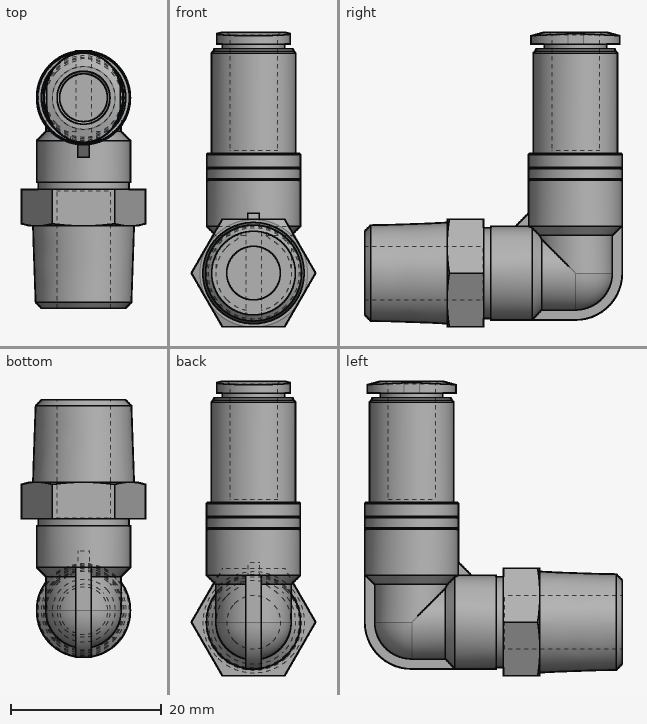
import cadquery as cq
import math


BODY_R = 12.5 / 2
NECK_R = 5.0
TUBE_BODY_START = 6.22
THREAD_BODY_START = 5.7
BODY_CONE = BODY_R - NECK_R
THREAD_BODY_END = 11.25
WEB_THICKNESS = 2.0

TUBE_BODY_TOP = 15.9
GROOVE_R = 12.1 / 2
GROOVE_WIDTH = 0.2
GROOVE_HEIGHTS = (12.4, 13.95)
BODY_EDGE = 0.15

SLEEVE_R = 11.25 / 2
SLEEVE_TOP = 29.8
SLEEVE_CHAMFER = 0.25
SLEEVE_LIP_HEIGHT = 0.35
SLEEVE_LIP_TAPER = 0.15
STEM_R = 8.35 / 2
COLLAR_BOTTOM = 30.4
COLLAR_TOP = 32.0
COLLAR_END_R = 4.9
COLLAR_LENGTH = 11.82
COLLAR_RIM_DROP = 0.47
TUBE_BORE_R = 6.35 / 2
TUBE_BORE_DEPTH = 15.65
TUBE_BORE_CHAMFER = 0.35

HEX_CORNERS = 16.52
HEX_FLATS = HEX_CORNERS * math.cos(math.pi / 6)
HEX_START = 12.18
HEX_END = 17.03
HEX_CHAMFER_ANGLE = math.radians(15)
GROOVED_NECK_R = 12.1 / 2
THREAD_END = 28.0
THREAD_ROOT_R = 6.75
THREAD_TIP_R = 6.4
THREAD_CHAMFER = 0.82
THREAD_BORE_R = 7.13 / 2
THREAD_BORE_DEPTH = 15.65

GUSSET_WIDTH = 1.55
GUSSET_LEG = 1.7


def revolve_z(points):
    """Revolve a (radius, height) outline about Z."""
    return cq.Workplane("XZ").polyline(points).close().revolve(360, (0, 0), (0, 1))


def along_thread(solid):
    """Turn a solid built along +Z so that it points along -Y."""
    return solid.rotate((0, 0, 0), (1, 0, 0), 90)


def elbow_leg(start, end):
    """Thin neck from the elbow centre that widens through a cone into the body."""
    return revolve_z([
        (0, 0),
        (NECK_R, 0),
        (NECK_R, start - BODY_CONE),
        (BODY_R, start),
        (BODY_R, end),
        (0, end),
    ])


def elbow_web():
    """Central plate that follows the rounded outside of the elbow."""
    return (
        cq.Workplane("YZ")
        .moveTo(0, 0)
        .lineTo(0, TUBE_BODY_START)
        .lineTo(BODY_R, TUBE_BODY_START)
        .lineTo(BODY_R, 0)
        .radiusArc((0, -BODY_R), BODY_R)
        .lineTo(-THREAD_BODY_START, -BODY_R)
        .lineTo(-THREAD_BODY_START, 0)
        .close()
        .extrude(WEB_THICKNESS / 2, both=True)
    )


def tube_body():
    body = elbow_leg(TUBE_BODY_START, TUBE_BODY_TOP).faces(">Z").chamfer(BODY_EDGE)
    for height in GROOVE_HEIGHTS:
        ring = (
            cq.Workplane("XY")
            .workplane(offset=height - GROOVE_WIDTH / 2)
            .circle(BODY_R + 0.4)
            .circle(GROOVE_R)
            .extrude(GROOVE_WIDTH)
        )
        body = body.cut(ring)
    return body


def sleeve():
    """Tube sleeve with a chamfer and a thin tapered lip, topped by the narrower collar stem."""
    lip_r = SLEEVE_R - SLEEVE_CHAMFER
    return revolve_z([
        (0, 0),
        (NECK_R, 0),
        (NECK_R, TUBE_BODY_START),
        (SLEEVE_R, TUBE_BODY_START),
        (SLEEVE_R, SLEEVE_TOP - SLEEVE_LIP_HEIGHT - SLEEVE_CHAMFER),
        (lip_r, SLEEVE_TOP - SLEEVE_LIP_HEIGHT),
        (lip_r - SLEEVE_LIP_TAPER, SLEEVE_TOP),
        (STEM_R, SLEEVE_TOP),
        (STEM_R, COLLAR_BOTTOM),
        (0, COLLAR_BOTTOM),
    ])


def collar():
    """Oval release collar, long in Y, with a conical top."""
    oval = (
        cq.Workplane("XY")
        .workplane(offset=COLLAR_BOTTOM)
        .slot2D(COLLAR_LENGTH, 2 * COLLAR_END_R, 90)
        .extrude(COLLAR_TOP - COLLAR_BOTTOM)
    )
    cone = revolve_z([
        (0, COLLAR_BOTTOM),
        (COLLAR_LENGTH / 2, COLLAR_BOTTOM),
        (COLLAR_LENGTH / 2, COLLAR_TOP - COLLAR_RIM_DROP),
        (STEM_R, COLLAR_TOP),
        (0, COLLAR_TOP),
    ])
    return oval.intersect(cone)


def tube_bore():
    mouth_r = TUBE_BORE_R + TUBE_BORE_CHAMFER
    return revolve_z([
        (0, COLLAR_TOP - TUBE_BORE_DEPTH),
        (TUBE_BORE_R, COLLAR_TOP - TUBE_BORE_DEPTH),
        (TUBE_BORE_R, COLLAR_TOP - TUBE_BORE_CHAMFER),
        (mouth_r, COLLAR_TOP),
        (0, COLLAR_TOP),
    ])


def nut():
    """Hexagon with corners along X, its outer end turned to a shallow cone."""
    corner_r = HEX_CORNERS / 2
    face_r = HEX_FLATS / 2
    drop = (corner_r - face_r) * math.tan(HEX_CHAMFER_ANGLE)
    hexagon = (
        cq.Workplane("XY")
        .workplane(offset=HEX_START)
        .polygon(6, HEX_CORNERS)
        .extrude(HEX_END - HEX_START)
    )
    turned = revolve_z([
        (0, HEX_START),
        (corner_r, HEX_START),
        (corner_r, HEX_END - drop),
        (face_r, HEX_END),
        (0, HEX_END),
    ])
    return hexagon.intersect(turned)


def thread_stem():
    """Neck behind the nut and tapered thread in front of it."""
    return revolve_z([
        (0, THREAD_BODY_END),
        (GROOVED_NECK_R, THREAD_BODY_END),
        (GROOVED_NECK_R, HEX_END),
        (THREAD_ROOT_R, HEX_END),
        (THREAD_TIP_R, THREAD_END - THREAD_CHAMFER),
        (THREAD_TIP_R - THREAD_CHAMFER, THREAD_END),
        (0, THREAD_END),
    ])


def thread_bore():
    return (
        cq.Workplane("XY")
        .workplane(offset=THREAD_END - THREAD_BORE_DEPTH)
        .circle(THREAD_BORE_R)
        .extrude(THREAD_BORE_DEPTH)
    )


def gusset():
    """Triangular rib between the two bodies; its hidden corner lies inside them."""
    return (
        cq.Workplane("YZ")
        .moveTo(-THREAD_BODY_START, 0)
        .lineTo(-THREAD_BODY_START, BODY_R + GUSSET_LEG)
        .lineTo(-BODY_R, BODY_R + GUSSET_LEG)
        .lineTo(-BODY_R - GUSSET_LEG, BODY_R)
        .lineTo(-BODY_R - GUSSET_LEG, 0)
        .close()
        .extrude(GUSSET_WIDTH / 2, both=True)
    )


thread_side = (
    elbow_leg(THREAD_BODY_START, THREAD_BODY_END)
    .union(thread_stem())
    .union(nut())
    .cut(thread_bore())
)
tube_side = tube_body().union(sleeve()).union(collar()).cut(tube_bore())
elbow_ball = cq.Workplane("XY").sphere(NECK_R)

result = (
    tube_side
    .union(along_thread(thread_side))
    .union(elbow_ball)
    .union(elbow_web())
    .union(gusset())
)